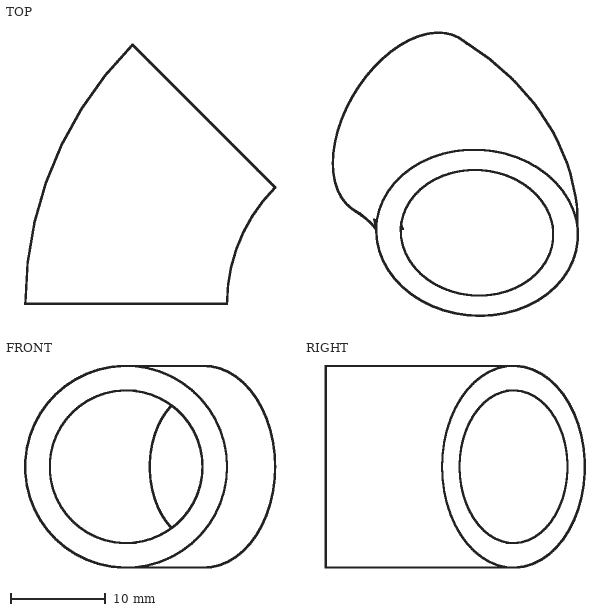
import cadquery as cq

OUTER_DIAMETER = 21.3
WALL_THICKNESS = 2.6
BEND_RADIUS = 28.0
BEND_ANGLE = 45.0

outer_radius = OUTER_DIAMETER / 2
inner_radius = outer_radius - WALL_THICKNESS


def make_elbow():
    """Revolve the ring-shaped pipe section about the bend axis, which is parallel to Z."""
    section = cq.Workplane("XZ").circle(outer_radius).circle(inner_radius)
    axis_top = (BEND_RADIUS, outer_radius)
    axis_bottom = (BEND_RADIUS, -outer_radius)
    return section.revolve(BEND_ANGLE, axis_top, axis_bottom)


result = make_elbow()